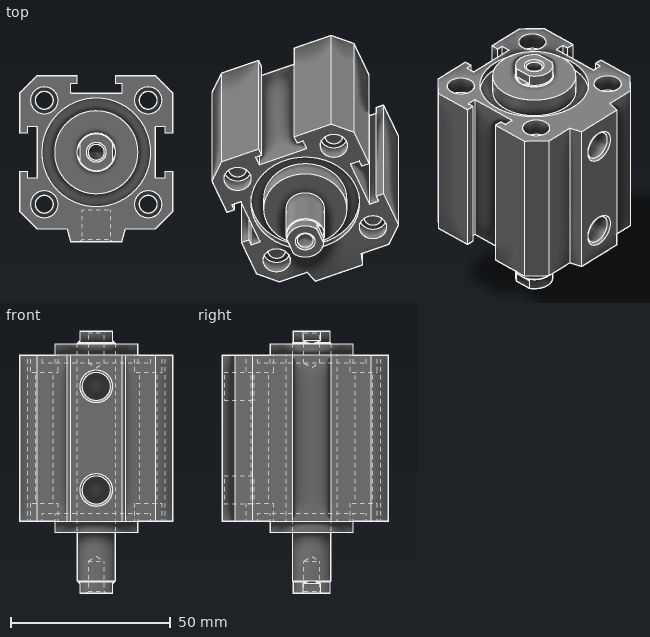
import cadquery as cq
import math

body_size = 48.0
body_height = 52.0
corner_chamfer = 5.5

slot_opening = 12.0
slot_width = 16.0
slot_lip = 2.5
slot_depth = 5.5

port_pad_base = 18.2
port_pad_face = 16.0
port_pad_rise = 4.0

bolt_pitch = 32.5
bolt_hole_diameter = 5.5
counterbore_diameter = 8.5
counterbore_depth = 5.5

recess_diameter = 34.0
recess_depth = 2.5
collar_diameter = 26.0
collar_rise = 3.5

port_spacing = 32.4
port_diameter = 8.8
port_mouth_diameter = 10.2
port_depth = 10.0

rod_diameter = 12.0
rod_tip_diameter = 11.6
rod_top_reach = 4.0
rod_bottom_reach = 19.0
tip_length = 3.5
tip_taper_length = 0.35
flat_width = 10.2
flat_length = 3.0

tap_diameter = 5.0
tap_mouth_diameter = 6.2
tap_depth = 10.0
drill_point_angle = 118.0

half_body = body_size / 2
pad_face_y = -half_body - port_pad_rise
rod_top = body_height + collar_rise + rod_top_reach
rod_bottom = -collar_rise - rod_bottom_reach


def cone_ended_hole(diameter, mouth_diameter, depth, point_length=0.0):
    """Cutter along -Z from the origin: 45 degree mouth, straight bore, optional drill point."""
    radius = diameter / 2
    mouth_radius = mouth_diameter / 2
    profile = (
        cq.Workplane("XZ")
        .moveTo(0, 0)
        .lineTo(mouth_radius, 0)
        .lineTo(radius, radius - mouth_radius)
        .lineTo(radius, -depth)
        .lineTo(0, -depth - point_length)
        .close()
    )
    return profile.revolve(360, (0, 0, 0), (0, 1, 0))


def mirrored_ends(feature):
    """The feature at the top end and its mirror image at the bottom end of the housing."""
    middle = (0, 0, body_height / 2)
    return [feature, feature.mirror("XY", middle)]


def t_slot():
    """T-slot cutter opening through the +Y face."""
    lip = cq.Workplane("XY").rect(slot_opening, 2 * slot_depth).extrude(body_height)
    lip = lip.translate((0, half_body, 0))
    undercut_depth = slot_depth - slot_lip
    undercut = cq.Workplane("XY").rect(slot_width, undercut_depth).extrude(body_height)
    undercut = undercut.translate((0, half_body - slot_lip - undercut_depth / 2, 0))
    return lip.union(undercut)


def port_pad():
    """Tapered pad that carries the two ports on the -Y face."""
    outline = [
        (-port_pad_base / 2, -half_body),
        (-port_pad_face / 2, pad_face_y),
        (port_pad_face / 2, pad_face_y),
        (port_pad_base / 2, -half_body),
        (port_pad_base / 2, -half_body + port_pad_rise),
        (-port_pad_base / 2, -half_body + port_pad_rise),
    ]
    return cq.Workplane("XY").polyline(outline).close().extrude(body_height)


def make_housing():
    housing = cq.Workplane("XY").rect(body_size, body_size).extrude(body_height)
    housing = housing.edges("|Z").chamfer(corner_chamfer)
    housing = housing.union(port_pad())

    for angle in (-90, 0, 90):
        housing = housing.cut(t_slot().rotate((0, 0, 0), (0, 0, 1), angle))

    recess = (
        cq.Workplane("XY", origin=(0, 0, body_height - recess_depth))
        .circle(recess_diameter / 2)
        .circle(collar_diameter / 2)
        .extrude(recess_depth)
    )
    collar = (
        cq.Workplane("XY", origin=(0, 0, body_height - recess_depth))
        .circle(collar_diameter / 2)
        .extrude(recess_depth + collar_rise)
    )
    for end_recess in mirrored_ends(recess):
        housing = housing.cut(end_recess)
    for end_collar in mirrored_ends(collar):
        housing = housing.union(end_collar)

    bolt_pattern = cq.Workplane("XY").rect(bolt_pitch, bolt_pitch, forConstruction=True).vertices()
    housing = housing.cut(bolt_pattern.circle(bolt_hole_diameter / 2).extrude(body_height))
    counterbores = (
        cq.Workplane("XY", origin=(0, 0, body_height - counterbore_depth))
        .rect(bolt_pitch, bolt_pitch, forConstruction=True)
        .vertices()
        .circle(counterbore_diameter / 2)
        .extrude(counterbore_depth)
    )
    for end_counterbores in mirrored_ends(counterbores):
        housing = housing.cut(end_counterbores)

    for side in (-1, 1):
        port = cone_ended_hole(port_diameter, port_mouth_diameter, port_depth)
        port = port.rotate((0, 0, 0), (1, 0, 0), 90)
        port_z = body_height / 2 + side * port_spacing / 2
        housing = housing.cut(port.translate((0, pad_face_y, port_z)))

    bore = (
        cq.Workplane("XY", origin=(0, 0, -collar_rise))
        .circle(rod_diameter / 2)
        .extrude(body_height + 2 * collar_rise)
    )
    return housing.cut(bore)


def rod_end():
    """Cutter for one rod end, with the end face at the origin and the rod below it."""
    cutter = (
        cq.Workplane("XZ")
        .moveTo(rod_tip_diameter / 2, 0)
        .lineTo(rod_tip_diameter / 2, -tip_length)
        .lineTo(rod_diameter / 2, -tip_length - tip_taper_length)
        .lineTo(rod_diameter, -tip_length - tip_taper_length)
        .lineTo(rod_diameter, 0)
        .close()
        .revolve(360, (0, 0, 0), (0, 1, 0))
    )
    flat_radius = flat_width / 2
    run_out = rod_diameter / 2 - flat_radius
    for side in (-1, 1):
        flat = (
            cq.Workplane("XZ")
            .moveTo(side * flat_radius, 0)
            .lineTo(side * rod_diameter, 0)
            .lineTo(side * rod_diameter, -flat_length - run_out)
            .lineTo(side * rod_diameter / 2, -flat_length - run_out)
            .lineTo(side * flat_radius, -flat_length)
            .close()
            .extrude(rod_diameter, both=True)
        )
        cutter = cutter.union(flat)
    point_length = tap_diameter / 2 / math.tan(math.radians(drill_point_angle / 2))
    return cutter.union(cone_ended_hole(tap_diameter, tap_mouth_diameter, tap_depth, point_length))


def make_rod():
    rod = (
        cq.Workplane("XY", origin=(0, 0, rod_bottom))
        .circle(rod_diameter / 2)
        .extrude(rod_top - rod_bottom)
    )
    rod = rod.cut(rod_end().translate((0, 0, rod_top)))
    return rod.cut(rod_end().mirror("XY").translate((0, 0, rod_bottom)))


housing = make_housing()
rod = make_rod()
result = cq.Compound.makeCompound([housing.val(), rod.val()])